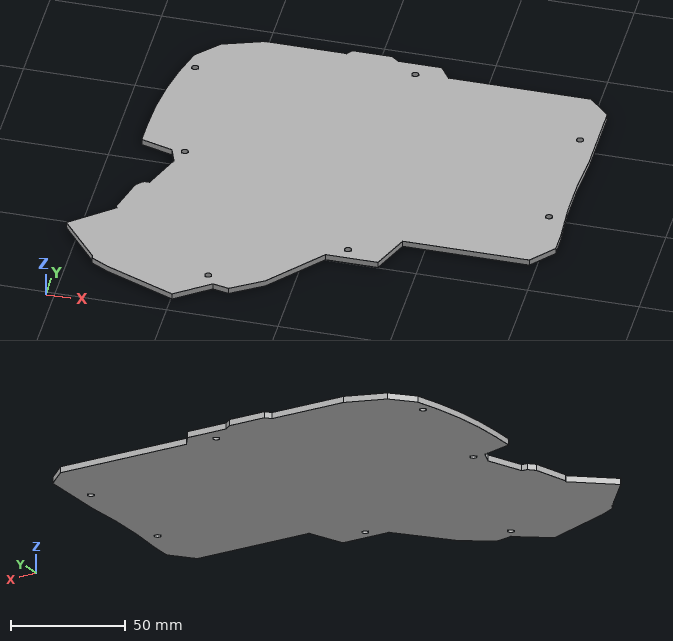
import cadquery as cq

length = 212.0
width = 184.5
thickness = 3.0
hole_diameter = 3.0

shoulder_y = 182.0
right_top_y = 175.5
right_bottom_y = 59.4
step_bottom_y = 42.5
corner_x = 202.7
left_x = 18.5

waist_center_y = 106.0
waist_half_length = 26.5
waist_depth = 1.3

bow_start = (left_x, 113.5)
bow_end = (27.0, 165.6)

top_corners = [
    (36.5, right_top_y),
    (55.0, shoulder_y),
    (91.4, shoulder_y),
    (93.5, width),
    (111.3, width),
    (114.7, shoulder_y),
    (134.2, shoulder_y),
    (138.7, right_top_y),
    (corner_x, right_top_y),
    (length, 166.7),
    (length, waist_center_y + waist_half_length),
]

bottom_corners = [
    (length, 70.0),
    (corner_x, right_bottom_y),
    (145.9, right_bottom_y),
    (138.9, step_bottom_y),
    (115.4, step_bottom_y),
    (94.2, 18.5),
    (79.7, 9.5),
    (72.3, 11.0),
    (56.6, 0),
]

left_corners = [
    (24.8, 12.3),
    (16.8, 16.5),
    (16.8, 17.8),
    (0, 38.2),
    (19.0, 53.5),
    (18.5, 54.0),
    (23.1, 71.0),
    (26.0, 74.0),
    (28.8, 74.2),
    (35.6, 91.4),
    (33.0, 98.4),
    (left_x, 102.5),
    bow_start,
]

hole_centers = [
    (29.5, 157.0),
    (38.8, 98.5),
    (69.0, 16.5),
    (124.0, 48.1),
    (124.0, 174.5),
    (204.0, 91.0),
    (204.6, 146.5),
]


def make_plate():
    """Flat plate with the irregular outline."""
    waist_middle = (length - waist_depth, waist_center_y)
    waist_bottom = (length, waist_center_y - waist_half_length)
    outline = cq.Workplane("XY").moveTo(*bow_end)
    for corner in top_corners:
        outline = outline.lineTo(*corner)
    outline = outline.threePointArc(waist_middle, waist_bottom)
    for corner in bottom_corners + left_corners:
        outline = outline.lineTo(*corner)
    outline = outline.tangentArcPoint(bow_end, relative=False)
    return outline.close().extrude(thickness)


def make_holes():
    """Mounting holes through the full thickness."""
    return cq.Workplane("XY").pushPoints(hole_centers).circle(hole_diameter / 2).extrude(thickness)


result = make_plate().cut(make_holes())